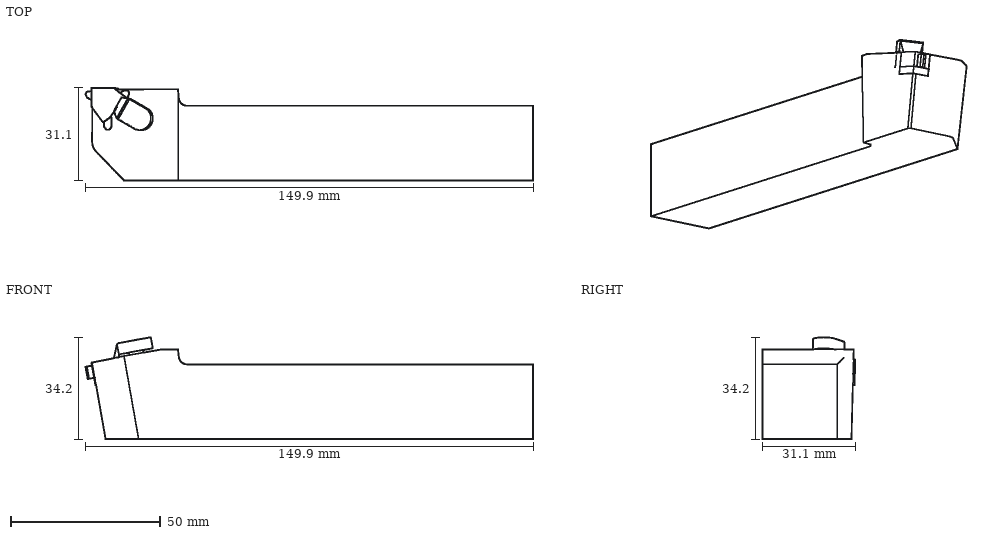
import cadquery as cq
import math

length = 150.0
shank_width = 25.0
shank_height = 25.0
head_height = 30.0
head_length = 31.0
head_width_top = 30.6
head_width_bottom = 29.8
front_rake = 10.0
front_x_bottom = 6.8
corner_chamfer = 11.1
corner_radius = 4.8
side_chamfer = 0.8
wall_draft = 0.3
wall_fillet = 2.7

slope_start_x = 25.2
slope_x = 0.18
slope_y = -0.017

insert_center = (7.4, 25.4)
insert_thickness = 5.0
insert_edge = [(-5.4, 5.7), (2.1, 5.7), (6.2, 2.5), (0.8, -4.4), (-1.5, -5.8), (-5.4, -0.6)]
tooth_reach = 8.4
tooth_root = 3.0
tooth_width = 2.5
tooth_tip_width = 0.9
tooth_taper_length = 1.0
tooth_drop = 0.8
first_tooth_angle = 151.0
tooth_count = 3
seat_depth = 2.4

clamp_center = (13.4, 24.0)
clamp_angle = -30.0
clamp_width = 7.8
clamp_height = 5.0
clamp_bevel = 0.5
clamp_gap = 1.2
clamp_end = 10.5
clamp_end_start = 7.4
nose_reach = 3.0
nose_width = 5.4
nose_heel = 0.5
post_position = 4.5
post_radius = 2.4
post_depth = 4.5

clearance = 45.0


def sloped_plane(point, angle):
    """Plane on the sloping top face, with its x axis turned by angle in plan."""
    x, y = point
    z = head_height + slope_x * (x - slope_start_x) + slope_y * y
    dx = math.cos(math.radians(angle))
    dy = math.sin(math.radians(angle))
    return cq.Plane(
        origin=(x, y, z),
        xDir=(dx, dy, slope_x * dx + slope_y * dy),
        normal=(-slope_x, -slope_y, 1),
    )


def rear_step(sketch, high, low):
    """Continue an outline from the rear wall's top down its fillet to the shank."""
    arc_x = head_length + wall_draft
    center_x = arc_x + wall_fillet
    center_v = low + wall_fillet
    diagonal = wall_fillet * math.sqrt(0.5)
    return (
        sketch.lineTo(head_length, high)
        .lineTo(arc_x, center_v)
        .threePointArc((center_x - diagonal, center_v - diagonal), (center_x, low))
        .lineTo(length, low)
        .lineTo(length, 0)
    )


def plan_section(z, front_x, head_width):
    """Closed outline of the holder at height z, with a chamfered and rounded front corner."""
    tangent = corner_radius * math.tan(math.radians(22.5))
    diagonal = tangent * math.sqrt(0.5)
    center_x = front_x + corner_radius
    center_y = corner_chamfer + tangent
    arc_middle = (
        center_x - corner_radius * math.cos(math.radians(22.5)),
        center_y - corner_radius * math.sin(math.radians(22.5)),
    )
    outline = (
        cq.Workplane("XY", origin=(0, 0, z))
        .moveTo(front_x + corner_chamfer, 0)
        .lineTo(front_x + diagonal, corner_chamfer - diagonal)
        .threePointArc(arc_middle, (front_x, center_y))
        .lineTo(front_x, head_width - side_chamfer)
        .lineTo(front_x + side_chamfer, head_width)
    )
    return rear_step(outline, head_width, shank_width).close().val()


def build_holder_blank():
    """Common volume of the leaning plan shape and the side elevation, below the slope."""
    front_x_top = front_x_bottom - head_height * math.tan(math.radians(front_rake))
    bottom = plan_section(0, front_x_bottom, head_width_bottom)
    top = plan_section(head_height, front_x_top, head_width_top)
    plan = cq.Workplane(cq.Solid.makeLoft([bottom, top], True))

    elevation = cq.Workplane("XZ").lineTo(0, head_height)
    elevation = rear_step(elevation, head_height, shank_height).close().extrude(-clearance)

    above_slope = (
        cq.Workplane(sloped_plane((0, 0), 0)).rect(4 * clearance, 4 * clearance).extrude(clearance)
    )
    return plan.intersect(elevation).cut(above_slope)


def insert_prism(bottom, top):
    """Insert outline extruded between two heights above the sloping face."""
    face = sloped_plane(insert_center, 0)
    return cq.Workplane(face).workplane(offset=bottom).polyline(insert_edge).close().extrude(top - bottom)


def tooth_prisms(bottom, top):
    """Cutting teeth equally spaced about the insert, each as its own prism."""
    half = tooth_width / 2
    half_tip = tooth_tip_width / 2
    shoulder = tooth_reach - tooth_taper_length
    outline = [
        (tooth_root, -half),
        (shoulder, -half),
        (tooth_reach, -half_tip),
        (tooth_reach, half_tip),
        (shoulder, half),
        (tooth_root, half),
    ]
    teeth = []
    for i in range(tooth_count):
        face = sloped_plane(insert_center, first_tooth_angle + i * 360 / tooth_count)
        base = cq.Workplane(face).workplane(offset=bottom)
        teeth.append(base.polyline(outline).close().extrude(top - bottom))
    return teeth


def build_insert():
    body = insert_prism(-insert_thickness, 0)
    for tooth in tooth_prisms(-insert_thickness, -tooth_drop):
        body = body.union(tooth)
    return body


def cut_pocket(blank):
    """Seat for the insert, open upward over its teeth, with a pad beneath."""
    seat_bottom = -insert_thickness
    blank = blank.union(insert_prism(seat_bottom - seat_depth, seat_bottom))
    blank = blank.cut(insert_prism(seat_bottom, clearance))
    for tooth in tooth_prisms(seat_bottom, clearance):
        blank = blank.cut(tooth)
    return blank


def build_clamp():
    """Round-ended bar with a sloped nose on the insert, raised on a post from the head."""
    face = sloped_plane(clamp_center, clamp_angle)
    half = clamp_width / 2
    plan = (
        cq.Workplane(face)
        .moveTo(-nose_reach, -nose_width / 2)
        .lineTo(0, -half)
        .lineTo(clamp_end_start, -half)
        .threePointArc((clamp_end, 0), (clamp_end_start, half))
        .lineTo(0, half)
        .lineTo(-nose_reach, nose_width / 2)
        .close()
        .extrude(clamp_height)
    )
    side_plane = cq.Plane(origin=face.origin, xDir=face.xDir, normal=-face.yDir)
    side = [
        (-nose_reach, 0),
        (-clamp_bevel / 2, clamp_height - clamp_bevel),
        (clamp_bevel, clamp_height),
        (clamp_end, clamp_height),
        (clamp_end, clamp_gap),
        (nose_heel, clamp_gap),
        (nose_heel - clamp_gap, 0),
    ]
    profile = cq.Workplane(side_plane).polyline(side).close().extrude(clamp_width, both=True)
    post = (
        cq.Workplane(face)
        .workplane(offset=-post_depth)
        .center(post_position, 0)
        .circle(post_radius)
        .extrude(post_depth + clamp_gap)
    )
    return plan.intersect(profile).union(post)


insert = build_insert()
holder = cut_pocket(build_holder_blank()).union(build_clamp()).cut(insert)
result = cq.Compound.makeCompound([holder.solids().val(), insert.solids().val()])